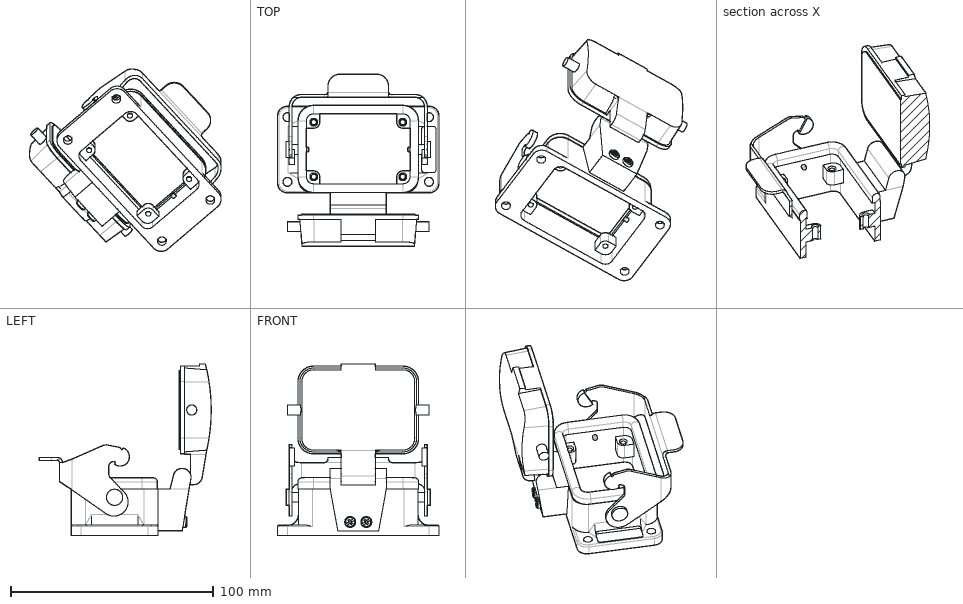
import cadquery as cq
import math

FLANGE_X = 80.0
BASE_Y = 43.0
FLANGE_HEIGHT = 5.15
FLANGE_CORNER = 5.0
FLANGE_EDGE_FILLET = 0.8
MOUNT_HOLE_D = 4.3
MOUNT_HOLE_X = 35.0
MOUNT_HOLE_Y = 16.0

BODY_X = 59.3
BODY_CORNER = 7.0
BODY_TOP = 23.1
WALL = 3.2
CAVITY_X = BODY_X - 2 * WALL
CAVITY_Y = BASE_Y - 2 * WALL

RIM_X = 59.7
RIM_Y = 43.1
RIM_SHIFT_Y = 0.35
RIM_WALL = 4.25
RIM_TOP = 28.6
RIM_CORNER = 7.7

LUG_X = 22.0
LUG_Y = 13.5
LUG_REACH = 3.0
LUG_BOTTOM = 9.0
LUG_TOP = 17.0
LUG_HOLE_D = 2.5
LUG_SINK_D = 3.9

FOOT_SIZE = 5.15
FOOT_HALF_Y = 11.5
FOOT_END_LENGTH = 2.8
FOOT_END_SCALE = 0.05

LABEL_CENTER_X = 34.9
LABEL_X = 7.0
LABEL_Y = 22.8
LABEL_CORNER = 1.2
LABEL_DEPTH = 0.3

PIVOT_Z = 18.9
PIVOT_D = 4.8
PIVOT_HEAD_D = 8.0
PIVOT_HEAD_HEIGHT = 1.45
PIVOT_TIP_D = 2.3
PIVOT_TIP_X = 24.4
PIVOT_TIP_FILLET = 0.6

SHEET = 1.5
LEVER_HALF_X = 34.2
LEVER_BACK_Y = 27.25
LEVER_FRONT_Y = -10.0
LEVER_BEND_R = 6.1
LEVER_BACK_TOP = 36.1
LEVER_BACK_BOTTOM = 26.65
LEVER_BEND_BOTTOM = 22.6
LEVER_BEND_TOP = 37.8
LOBE_Y = 0.3
LOBE_Z = 16.6
LOBE_R = 7.0
LOBE_MIDDLE = -140
LOBE_END = 135
THROAT_LOW = (1.9, 28.4)
THROAT_MIDDLE = (2.55, 29.3)
THROAT_TOP_Z = 30.5
NECK_TOP = (-2.6, 43.6)
CREST_FRONT = (3.9, 44.9)
CREST_MIDDLE = (5.2, 44.75)
CREST_BACK = (6.4, 44.3)
MOUTH_Y = 0.3
MOUTH_Z = 34.1
MOUTH_R = 2.5
HOOK_Y = -2.75
HOOK_Z = 38.95
HOOK_R = 4.65
HOOK_WIDTH = 2.7
HOOK_CHORD_TOP = (-3.65, 42.3)
HOOK_CHORD_BOTTOM = (-0.4, 36.2)

TAB_HALF_X = 15.05
TAB_END_Y = 37.3
TAB_TOP = 38.6
TAB_CORNER = 6.0
TAB_BEND_R = TAB_TOP - LEVER_BACK_TOP
TAB_ROOT_X = 2.2
TAB_ROOT_Z = 1.6

BRACKET_HALF_TOP = 13.9
BRACKET_HALF_BOTTOM = 10.1
BRACKET_TAPER_Z = BODY_TOP
BRACKET_BOTTOM = 2.3
BRACKET_FOOT_Y = -33.5
KNUCKLE_Y = -33.4
KNUCKLE_Z = 28.85
KNUCKLE_R = 4.4
KNUCKLE_BACK_Y = -27.4
KNUCKLE_BACK_LEAN = 15.0

SCREW_X = 4.0
SCREW_Z = 6.7
SCREW_HEAD_D = 5.4
SCREW_FACE_Y = -35.8
SCREW_HEAD_LENGTH = 3.0
SCREW_CHAMFER = 0.5
SLOT_WIDTH = 0.9
SLOT_DEPTH = 0.6
SLOT_ANGLE = 35.0
CROSS_LENGTH = 2.6
CROSS_CENTER_D = 1.2
CROSS_DEPTH = 1.2

COVER_Z = 62.1
COVER_X = 59.8
COVER_HEIGHT = 43.5
COVER_CORNER = 7.8
COVER_RIM_BACK = -32.5
COVER_RIM_FRONT = -34.55
COVER_STEP = 1.0
SHELL_CORNER = 6.9
SHELL_TAPER = 4.5
DOME_PEAK_Y = -47.86
DOME_R = 90.0
LIP_X = 56.2
LIP_HEIGHT = 39.0
LIP_BACK = -31.9
COVER_PIN_D = 5.0
COVER_PIN_Y = -38.15
COVER_PIN_HALF_X = 35.1

BAND_HALF_X = 8.47
RIDGE_Y = -42.0
RIDGE_TOP = 84.9
ARM_BACK_Y = -37.5
ARM_TOP = 42.1
ARM_OUTER_LOW = (-43.5, 29.4)
ARM_BOTTOM = 25.1
ARM_FLAT_END_Y = -39.1
ARM_FLARE_R = 2.1


def rounded_block(size_x, size_y, z0, z1, corner):
    block = cq.Workplane("XY").workplane(offset=z0).rect(size_x, size_y).extrude(z1 - z0)
    return block.edges("|Z").fillet(corner)


def rounded_upright(size_x, size_z, center_z, y_back, y_front, corner):
    """Rounded rectangle in XZ that runs from y_back toward -Y."""
    plate = cq.Workplane("XZ", origin=(0, y_back, center_z)).rect(size_x, size_z)
    return plate.extrude(y_back - y_front).edges("|Y").fillet(corner)


def x_cylinder(diameter, y, z, x0, x1):
    return cq.Workplane("YZ", origin=(x0, y, z)).circle(diameter / 2).extrude(x1 - x0)


def both_sides(shape):
    return shape.union(shape.mirror("YZ"))


def polar(center_y, center_z, radius, degrees):
    angle = math.radians(degrees)
    return (center_y + radius * math.cos(angle), center_z + radius * math.sin(angle))


def concave_corner(workplane, size_x, size_y):
    """Corner fill with legs along both axes and a hollow quarter-round face."""
    pull = 1 - math.sqrt(0.5)
    return (
        workplane.moveTo(0, 0)
        .lineTo(size_x, 0)
        .threePointArc((size_x * pull, size_y * pull), (0, size_y))
        .close()
    )


def make_flange():
    flange = rounded_block(FLANGE_X, BASE_Y, 0, FLANGE_HEIGHT, FLANGE_CORNER)
    return flange.faces(">Z").edges().fillet(FLANGE_EDGE_FILLET)


def make_foot():
    wall_x = BODY_X / 2
    plane = cq.Workplane("XZ", origin=(wall_x, FOOT_HALF_Y, FLANGE_HEIGHT))
    middle = concave_corner(plane, FOOT_SIZE, FOOT_SIZE).extrude(2 * FOOT_HALF_Y)
    tip = FOOT_SIZE * FOOT_END_SCALE
    front = cq.Workplane("XZ", origin=(wall_x, -FOOT_HALF_Y, FLANGE_HEIGHT))
    end = concave_corner(front, FOOT_SIZE, FOOT_SIZE).workplane(offset=FOOT_END_LENGTH)
    end = concave_corner(end, tip, tip).loft(ruled=True)
    return middle.union(end).union(end.mirror("XZ"))


def make_rim():
    """Half-round topped strip swept around the housing opening."""
    crown_r = RIM_WALL / 2
    crown_z = RIM_TOP - crown_r
    mid_y = RIM_Y / 2 - crown_r
    mid_x = RIM_X / 2 - crown_r
    bend = RIM_CORNER - crown_r
    diagonal = bend * (1 - math.sqrt(0.5))
    quarter = (
        cq.Workplane("XY", origin=(0, RIM_SHIFT_Y, BODY_TOP))
        .moveTo(0, mid_y)
        .lineTo(mid_x - bend, mid_y)
        .threePointArc((mid_x - diagonal, mid_y - diagonal), (mid_x, mid_y - bend))
        .lineTo(mid_x, 0)
    )
    section = (
        cq.Workplane("YZ", origin=(0, RIM_SHIFT_Y + mid_y, 0))
        .moveTo(-crown_r, BODY_TOP)
        .lineTo(crown_r, BODY_TOP)
        .lineTo(crown_r, crown_z)
        .threePointArc((0, RIM_TOP), (-crown_r, crown_z))
        .close()
    )
    corner = section.sweep(quarter)
    half = corner.union(corner.mirror("YZ"))
    return half.union(half.mirror("XZ", (0, RIM_SHIFT_Y, 0)))


def make_lugs():
    size_x = CAVITY_X / 2 - LUG_X + LUG_REACH
    size_y = CAVITY_Y / 2 - LUG_Y + LUG_REACH
    lug = (
        cq.Workplane("XY", origin=(LUG_X - LUG_REACH, LUG_Y - LUG_REACH, LUG_BOTTOM))
        .box(size_x + WALL / 2, size_y + WALL / 2, LUG_TOP - LUG_BOTTOM, centered=False)
        .edges("|Z and <X and <Y")
        .fillet(LUG_REACH)
    )
    lug = lug.intersect(rounded_block(BODY_X, BASE_Y, 0, BODY_TOP, BODY_CORNER))
    sink_depth = (LUG_SINK_D - LUG_HOLE_D) / 2
    hole = cq.Workplane("XY", origin=(LUG_X, LUG_Y, LUG_TOP)).circle(LUG_HOLE_D / 2)
    lug = lug.cut(hole.extrude(LUG_BOTTOM - LUG_TOP))
    lug = lug.cut(
        cq.Workplane("XY", origin=(LUG_X, LUG_Y, LUG_TOP))
        .circle(LUG_SINK_D / 2)
        .workplane(offset=-sink_depth)
        .circle(LUG_HOLE_D / 2)
        .loft()
    )
    pair = both_sides(lug)
    return pair.union(pair.mirror("XZ"))


def make_housing():
    housing = make_flange().union(rounded_block(BODY_X, BASE_Y, 0, BODY_TOP, BODY_CORNER))
    housing = housing.union(both_sides(make_foot()))
    housing = housing.cut(rounded_block(CAVITY_X, CAVITY_Y, 0, BODY_TOP, BODY_CORNER - WALL))
    housing = housing.union(make_rim()).union(make_lugs())
    holes = (
        cq.Workplane("XY")
        .rect(2 * MOUNT_HOLE_X, 2 * MOUNT_HOLE_Y, forConstruction=True)
        .vertices()
        .circle(MOUNT_HOLE_D / 2)
        .extrude(FLANGE_HEIGHT)
    )
    label_floor = FLANGE_HEIGHT - LABEL_DEPTH
    label = rounded_block(LABEL_X, LABEL_Y, label_floor, BODY_TOP, LABEL_CORNER)
    return housing.cut(holes).cut(label.translate((LABEL_CENTER_X, 0, 0)))


def make_pivot():
    wall_mid = BODY_X / 2 - WALL / 2
    shaft = x_cylinder(PIVOT_D, 0, PIVOT_Z, wall_mid, LEVER_HALF_X)
    head = x_cylinder(PIVOT_HEAD_D, 0, PIVOT_Z, LEVER_HALF_X, LEVER_HALF_X + PIVOT_HEAD_HEIGHT)
    tip = x_cylinder(PIVOT_TIP_D, 0, PIVOT_Z, PIVOT_TIP_X, wall_mid)
    tip = tip.faces("<X").edges().fillet(PIVOT_TIP_FILLET)
    return shaft.union(head).union(tip)


def lever_profile():
    """Side outline of the lever in the YZ plane."""
    bend_y = LEVER_BACK_Y - LEVER_BEND_R
    lower_y, lower_z = bend_y - LOBE_Y, LEVER_BEND_BOTTOM - LOBE_Z
    tangent_turn = math.acos(LOBE_R / math.hypot(lower_y, lower_z))
    lower_tangent = math.degrees(math.atan2(lower_z, lower_y) - tangent_turn)
    return (
        cq.Workplane("YZ", origin=(-LEVER_HALF_X, 0, 0))
        .moveTo(LEVER_BACK_Y, LEVER_BACK_BOTTOM)
        .lineTo(bend_y, LEVER_BEND_BOTTOM)
        .lineTo(*polar(LOBE_Y, LOBE_Z, LOBE_R, lower_tangent))
        .threePointArc(
            polar(LOBE_Y, LOBE_Z, LOBE_R, LOBE_MIDDLE), polar(LOBE_Y, LOBE_Z, LOBE_R, LOBE_END)
        )
        .lineTo(*THROAT_LOW)
        .threePointArc(THROAT_MIDDLE, (MOUTH_Y + MOUTH_R, THROAT_TOP_Z))
        .lineTo(MOUTH_Y + MOUTH_R, MOUTH_Z)
        .threePointArc(polar(MOUTH_Y, MOUTH_Z, MOUTH_R, 45), (MOUTH_Y, MOUTH_Z + MOUTH_R))
        .lineTo(*HOOK_CHORD_BOTTOM)
        .lineTo(*HOOK_CHORD_TOP)
        .lineTo(*NECK_TOP)
        .lineTo(*CREST_FRONT)
        .threePointArc(CREST_MIDDLE, CREST_BACK)
        .lineTo(bend_y, LEVER_BEND_TOP)
        .lineTo(LEVER_BACK_Y - SHEET, LEVER_BACK_TOP)
        .lineTo(LEVER_BACK_Y, LEVER_BACK_TOP)
        .close()
        .extrude(2 * LEVER_HALF_X)
    )


def lever_strip():
    """U-shaped strip in plan, open toward -Y."""
    depth = LEVER_BACK_Y - LEVER_FRONT_Y
    center_y = (LEVER_BACK_Y + LEVER_FRONT_Y) / 2
    height = 2 * LEVER_BACK_TOP
    outer = cq.Workplane("XY").box(
        2 * LEVER_HALF_X, depth, height, centered=(True, True, False)
    )
    outer = outer.edges("|Z and >Y").fillet(LEVER_BEND_R)
    inner = cq.Workplane("XY").box(
        2 * (LEVER_HALF_X - SHEET), depth, height, centered=(True, True, False)
    )
    inner = inner.edges("|Z and >Y").fillet(LEVER_BEND_R - SHEET)
    return outer.cut(inner.translate((0, -SHEET, 0))).translate((0, center_y, 0))


def make_hook():
    disc = x_cylinder(2 * HOOK_R, HOOK_Y, HOOK_Z, LEVER_HALF_X - HOOK_WIDTH, LEVER_HALF_X)
    (top_y, top_z), (low_y, low_z) = HOOK_CHORD_TOP, HOOK_CHORD_BOTTOM
    dy, dz = top_y - low_y, top_z - low_z
    far = 4 * HOOK_R
    keep = (
        cq.Workplane("YZ", origin=(LEVER_HALF_X - HOOK_WIDTH, 0, 0))
        .polyline([
            (low_y - dy, low_z - dz),
            (top_y + dy, top_z + dz),
            (top_y + dy - far, top_z + dz),
            (low_y - dy - far, low_z - dz),
        ])
        .close()
        .extrude(HOOK_WIDTH)
    )
    return disc.intersect(keep)


def bent_tab_strip(half_x):
    """Flat strip that turns up from the back plate and bends out toward +Y."""
    inner_y = LEVER_BACK_Y - SHEET
    bend_y = inner_y + TAB_BEND_R
    bend_z = LEVER_BACK_TOP
    inner_r = TAB_BEND_R - SHEET
    return (
        cq.Workplane("YZ", origin=(-half_x, 0, 0))
        .moveTo(inner_y, bend_z)
        .threePointArc(polar(bend_y, bend_z, TAB_BEND_R, 135), (bend_y, TAB_TOP))
        .lineTo(TAB_END_Y, TAB_TOP)
        .lineTo(TAB_END_Y, TAB_TOP - SHEET)
        .lineTo(bend_y, TAB_TOP - SHEET)
        .threePointArc(polar(bend_y, bend_z, inner_r, 135), (LEVER_BACK_Y, bend_z))
        .close()
        .extrude(2 * half_x)
    )


def make_tab():
    tab = bent_tab_strip(TAB_HALF_X).edges("|Z and >Y").fillet(TAB_CORNER)
    bend_end_y = LEVER_BACK_Y - SHEET + TAB_BEND_R
    root_plane = cq.Workplane("XZ", origin=(TAB_HALF_X, bend_end_y, LEVER_BACK_TOP))
    root_prism = concave_corner(root_plane, TAB_ROOT_X, TAB_ROOT_Z).extrude(TAB_BEND_R)
    root = bent_tab_strip(TAB_HALF_X + TAB_ROOT_X).intersect(root_prism)
    return tab.union(both_sides(root))


def make_lever():
    lever = lever_strip().intersect(lever_profile())
    return lever.union(both_sides(make_hook())).union(make_tab())


def make_bracket():
    wall_y = -BASE_Y / 2 + WALL / 2
    foot_distance = math.hypot(KNUCKLE_Y - BRACKET_FOOT_Y, KNUCKLE_Z - BRACKET_BOTTOM)
    face_lean = math.degrees(math.asin(KNUCKLE_R / foot_distance))
    knuckle_front = polar(KNUCKLE_Y, KNUCKLE_Z, KNUCKLE_R, 180 + face_lean)
    knuckle_back = polar(KNUCKLE_Y, KNUCKLE_Z, KNUCKLE_R, KNUCKLE_BACK_LEAN)
    side = (
        cq.Workplane("YZ", origin=(-BRACKET_HALF_TOP, 0, 0))
        .moveTo(wall_y, BRACKET_BOTTOM)
        .lineTo(BRACKET_FOOT_Y, BRACKET_BOTTOM)
        .lineTo(*knuckle_front)
        .threePointArc((KNUCKLE_Y, KNUCKLE_Z + KNUCKLE_R), knuckle_back)
        .lineTo(KNUCKLE_BACK_Y, BODY_TOP)
        .lineTo(wall_y, BODY_TOP)
        .close()
        .extrude(2 * BRACKET_HALF_TOP)
    )
    knuckle_top = KNUCKLE_Z + KNUCKLE_R
    front = (
        cq.Workplane("XZ")
        .polyline([
            (-BRACKET_HALF_BOTTOM, BRACKET_BOTTOM),
            (BRACKET_HALF_BOTTOM, BRACKET_BOTTOM),
            (BRACKET_HALF_TOP, BRACKET_TAPER_Z),
            (BRACKET_HALF_TOP, knuckle_top),
            (-BRACKET_HALF_TOP, knuckle_top),
            (-BRACKET_HALF_TOP, BRACKET_TAPER_Z),
        ])
        .close()
        .extrude(BASE_Y)
    )
    return side.intersect(front)


def make_screw(x):
    face = cq.Workplane("XZ", origin=(x, SCREW_FACE_Y, SCREW_Z))
    head = face.circle(SCREW_HEAD_D / 2).extrude(-SCREW_HEAD_LENGTH)
    head = head.faces("<Y").edges().chamfer(SCREW_CHAMFER)
    turned = face.transformed(rotate=(0, 0, SLOT_ANGLE))
    head = head.cut(turned.rect(SCREW_HEAD_D, SLOT_WIDTH).extrude(-SLOT_DEPTH))
    head = head.cut(turned.rect(SLOT_WIDTH, CROSS_LENGTH).extrude(-SLOT_DEPTH))
    return head.cut(face.circle(CROSS_CENTER_D / 2).extrude(-CROSS_DEPTH))


def dome_cylinder():
    half = COVER_PIN_HALF_X
    return x_cylinder(2 * DOME_R, DOME_PEAK_Y + DOME_R, COVER_Z, -half, half)


def make_cover():
    rim = rounded_upright(
        COVER_X, COVER_HEIGHT, COVER_Z, COVER_RIM_BACK, COVER_RIM_FRONT, COVER_CORNER
    )
    lip = rounded_upright(LIP_X, LIP_HEIGHT, COVER_Z, LIP_BACK, COVER_RIM_BACK, SHELL_CORNER)
    shell_x = COVER_X - 2 * COVER_STEP
    shell_z = COVER_HEIGHT - 2 * COVER_STEP
    outline = cq.Sketch().rect(shell_x, shell_z).vertices().fillet(SHELL_CORNER)
    shell = (
        cq.Workplane("XZ", origin=(0, COVER_RIM_FRONT, COVER_Z))
        .placeSketch(outline)
        .extrude(COVER_RIM_FRONT - DOME_PEAK_Y, taper=SHELL_TAPER)
        .intersect(dome_cylinder())
    )
    pins = x_cylinder(COVER_PIN_D, COVER_PIN_Y, COVER_Z, -COVER_PIN_HALF_X, COVER_PIN_HALF_X)
    return rim.union(lip).union(shell).union(pins)


def make_cover_band():
    """Raised middle band over the cover, with the top ridge and the root flares."""
    bottom = COVER_Z - COVER_HEIGHT / 2
    top = COVER_Z + COVER_HEIGHT / 2
    band = (
        cq.Workplane("YZ", origin=(-BAND_HALF_X, 0, 0))
        .polyline([
            (COVER_RIM_FRONT, bottom),
            (COVER_RIM_FRONT, top),
            (RIDGE_Y, top),
            (RIDGE_Y, RIDGE_TOP),
            (DOME_PEAK_Y, RIDGE_TOP),
            (DOME_PEAK_Y, bottom),
        ])
        .close()
        .extrude(2 * BAND_HALF_X)
    )
    flare_plane = cq.Workplane("XZ", origin=(BAND_HALF_X, COVER_RIM_FRONT, ARM_TOP))
    flare = concave_corner(flare_plane, ARM_FLARE_R, -ARM_FLARE_R)
    flare = flare.extrude(COVER_RIM_FRONT - DOME_PEAK_Y)
    return band.union(both_sides(flare)).intersect(dome_cylinder())


def make_hinge_arm():
    outer_top_y = DOME_PEAK_Y + DOME_R - math.sqrt(DOME_R**2 - (COVER_Z - ARM_TOP) ** 2)
    low_y, low_z = ARM_OUTER_LOW
    arm = (
        cq.Workplane("YZ", origin=(-BAND_HALF_X, 0, 0))
        .moveTo(ARM_BACK_Y, ARM_TOP)
        .lineTo(ARM_BACK_Y, ARM_BOTTOM)
        .lineTo(ARM_FLAT_END_Y, ARM_BOTTOM)
    )
    radius = low_z - ARM_BOTTOM
    arm = arm.threePointArc(polar(ARM_FLAT_END_Y, low_z, radius, -135), (low_y, low_z))
    return arm.lineTo(outer_top_y, ARM_TOP).close().extrude(2 * BAND_HALF_X)


result = make_housing().union(both_sides(make_pivot()))
result = result.union(make_lever()).union(make_bracket())
for screw_x in (-SCREW_X, SCREW_X):
    result = result.union(make_screw(screw_x))
result = result.union(make_cover()).union(make_cover_band()).union(make_hinge_arm())